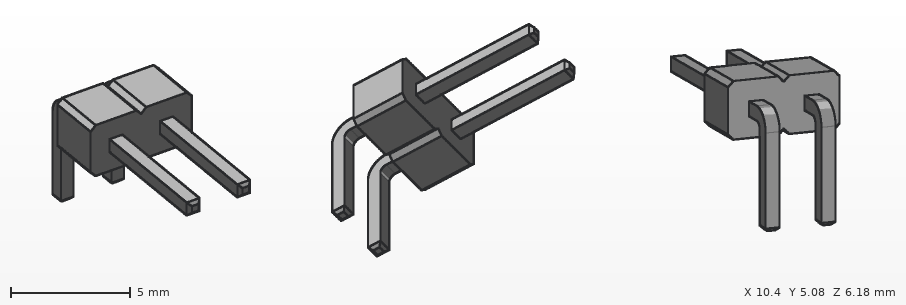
import cadquery as cq

pin_count = 2
pitch = 2.54

body_size = pitch
body_start = 1.8
body_chamfer = 0.25

pin_width = 0.64
pin_length = 10.36
overall_height = 6.18
bend_outer_radius = 0.95
bend_inner_radius = bend_outer_radius - pin_width
tip_length = 0.16
tip_width = 0.33

half_pin = pin_width / 2
pin_bottom = body_size / 2 - overall_height


def body_block(y):
    """One octagonal-ended housing segment centred at y."""
    block = cq.Workplane("XY").box(body_size, body_size, body_size)
    block = block.edges("|X").chamfer(body_chamfer)
    return block.translate((body_start + body_size / 2, y, 0))


def tip(plane):
    """Tapered square pin end, growing along the plane normal."""
    return (
        cq.Workplane(plane)
        .rect(pin_width, pin_width)
        .workplane(offset=tip_length)
        .rect(tip_width, tip_width)
        .loft(ruled=True)
    )


def bent_pin(y):
    """Square pin with a rounded right-angle bend and tapered ends."""
    straight_end = pin_length - tip_length
    leg_end = pin_bottom + tip_length
    shaft = (
        cq.Workplane("XZ")
        .moveTo(0, leg_end)
        .lineTo(0, half_pin - bend_outer_radius)
        .radiusArc((bend_outer_radius, half_pin), bend_outer_radius)
        .lineTo(straight_end, half_pin)
        .lineTo(straight_end, -half_pin)
        .lineTo(bend_outer_radius, -half_pin)
        .radiusArc((pin_width, half_pin - bend_outer_radius), -bend_inner_radius)
        .lineTo(pin_width, leg_end)
        .close()
        .extrude(half_pin, both=True)
    )
    long_tip = tip(cq.Plane(origin=(straight_end, 0, 0), xDir=(0, 1, 0), normal=(1, 0, 0)))
    leg_tip = tip(cq.Plane(origin=(half_pin, 0, leg_end), xDir=(1, 0, 0), normal=(0, 0, -1)))
    return shaft.union(long_tip).union(leg_tip).translate((0, y, 0))


positions = [(i - (pin_count - 1) / 2) * pitch for i in range(pin_count)]

result = cq.Workplane("XY")
for position in positions:
    result = result.union(body_block(position))
for position in positions:
    result = result.union(bent_pin(position))